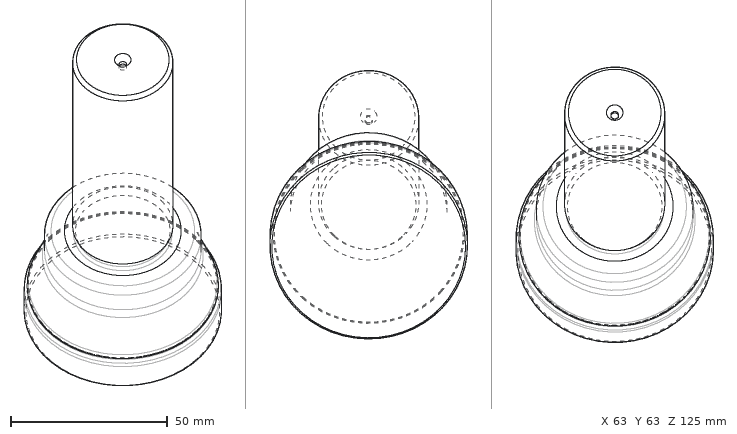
import cadquery as cq
import math

total_height = 125.0

base_radius = 31.5
base_height = 12.5
base_bottom_chamfer = 0.6
base_band_bottom = 10.1
base_band_top = 11.6
base_band_radius = 31.4
base_top_round = base_height - base_band_top

neck_radius = 30.1
skirt_foot_radius = 30.5
skirt_foot_z = 12.9
skirt_bottom_radius = 30.1
skirt_bottom_z = 14.4
skirt_top_radius = 25.6
skirt_top_z = 27.5
collar_radius = 25.0
collar_bottom_z = 30.6
collar_top_z = 40.0
collar_round = 2.1

recess_radius = 18.6
recess_floor_radius = 15.8
recess_depth = 1.0

shank_radius = 16.0
shank_chamfer = 1.2
root_radius = 15.1
root_bottom_z = 40.2
root_top_z = 42.6

centre_mouth_radius = 2.6
centre_pilot_radius = 1.2
centre_pilot_length = 1.2
centre_half_angle = 30.0
centre_cone_depth = (centre_mouth_radius - centre_pilot_radius) / math.tan(math.radians(centre_half_angle))


def revolve_profile(profile):
    """Turn a closed (radius, z) profile about the Z axis."""
    return profile.close().revolve(360, (0, 0), (0, 1))


def make_base():
    """Flat disk with a chamfered foot and a rounded, slightly tapered upper band."""
    profile = (
        cq.Workplane("XZ")
        .lineTo(base_radius - base_bottom_chamfer, 0)
        .lineTo(base_radius, base_bottom_chamfer)
        .lineTo(base_radius, base_band_bottom)
        .lineTo(base_band_radius, base_band_top)
        .radiusArc((base_band_radius - base_top_round, base_height), -base_top_round)
        .lineTo(0, base_height)
    )
    return revolve_profile(profile)


def make_centre_drilling():
    """Conical centre with a short blind pilot, opening at the shank end."""
    cone_bottom_z = total_height - centre_cone_depth
    pilot_bottom_z = cone_bottom_z - centre_pilot_length
    profile = (
        cq.Workplane("XZ")
        .moveTo(0, pilot_bottom_z)
        .lineTo(centre_pilot_radius, pilot_bottom_z)
        .lineTo(centre_pilot_radius, cone_bottom_z)
        .lineTo(centre_mouth_radius, total_height)
        .lineTo(0, total_height)
    )
    return revolve_profile(profile)


def make_stem():
    """Flared bell and shank in one piece, standing on the base."""
    recess_floor_z = collar_top_z - recess_depth
    cone_run = (skirt_bottom_radius - skirt_top_radius, skirt_bottom_z - skirt_top_z)
    recess_run = (recess_floor_radius - recess_radius, -recess_depth)
    profile = (
        cq.Workplane("XZ")
        .moveTo(0, base_height)
        .lineTo(neck_radius, base_height)
        .lineTo(neck_radius, skirt_foot_z)
        .lineTo(skirt_foot_radius, skirt_foot_z)
        .spline(
            [(skirt_bottom_radius, skirt_bottom_z)],
            tangents=[(0, 1), (-cone_run[0], -cone_run[1])],
            includeCurrent=True,
        )
        .lineTo(skirt_top_radius, skirt_top_z)
        .spline(
            [(collar_radius, collar_bottom_z)],
            tangents=[(-cone_run[0], -cone_run[1]), (0, 1)],
            includeCurrent=True,
        )
        .lineTo(collar_radius, collar_top_z - collar_round)
        .radiusArc((collar_radius - collar_round, collar_top_z), -collar_round)
        .lineTo(recess_radius, collar_top_z)
        .lineTo(recess_floor_radius, recess_floor_z)
        .spline(
            [(root_radius, root_bottom_z)],
            tangents=[recess_run, (shank_radius - root_radius, root_top_z - root_bottom_z)],
            includeCurrent=True,
        )
        .lineTo(shank_radius, root_top_z)
        .lineTo(shank_radius, total_height - shank_chamfer)
        .lineTo(shank_radius - shank_chamfer, total_height)
        .lineTo(0, total_height)
    )
    return revolve_profile(profile).cut(make_centre_drilling())


base = make_base()
stem = make_stem()
result = cq.Compound.makeCompound([base.val(), stem.val()])